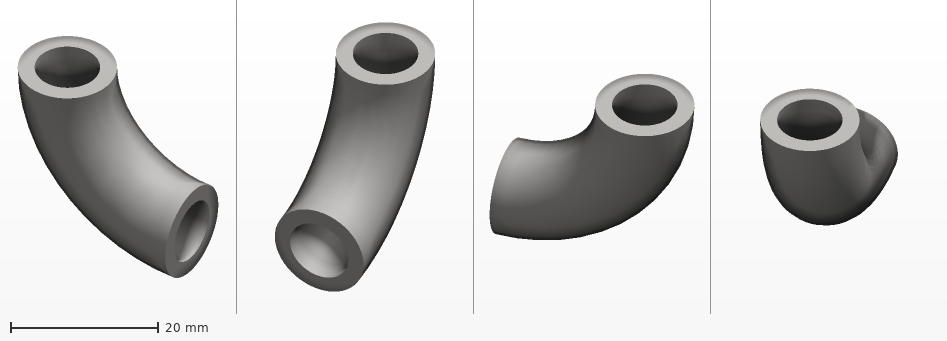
import cadquery as cq

overall_length = 26.75
outer_diameter = 13.5
bore_diameter = 8.9
bend_angle = 90.0

bend_radius = overall_length - outer_diameter / 2

tube_section = cq.Workplane("XY").circle(outer_diameter / 2).circle(bore_diameter / 2)

result = tube_section.revolve(
    bend_angle,
    axisStart=(bend_radius, 0),
    axisEnd=(bend_radius, -1),
)